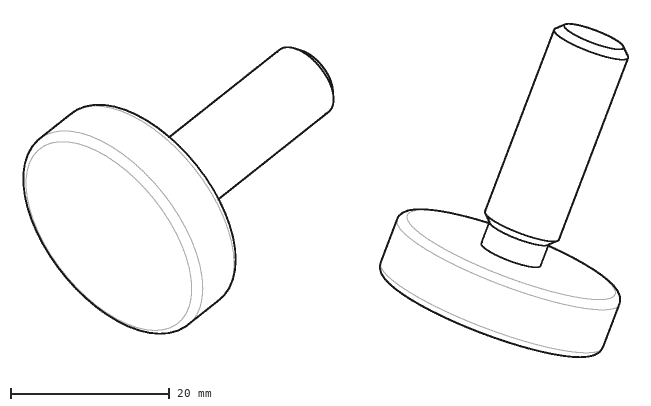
import cadquery as cq

total_length = 37.9
head_diameter = 30.0
head_thickness = 7.9
head_edge_radius = 1.0
shank_diameter = 10.0
neck_diameter = 8.0
neck_length = 3.0
tip_chamfer = 1.0

head_radius = head_diameter / 2
shank_radius = shank_diameter / 2
neck_radius = neck_diameter / 2
neck_end = head_thickness + neck_length
shank_start = neck_end + shank_radius - neck_radius


def make_head():
    """Round head with both rims rounded, its outer face at Y = 0."""
    disc = cq.Workplane("XZ").circle(head_radius).extrude(-head_thickness)
    return disc.edges().fillet(head_edge_radius)


def make_stem():
    """Neck, cone and shank revolved as one solid."""
    profile = (
        cq.Workplane("XY")
        .moveTo(0, head_thickness)
        .lineTo(neck_radius, head_thickness)
        .lineTo(neck_radius, neck_end)
        .lineTo(shank_radius, shank_start)
        .lineTo(shank_radius, total_length - tip_chamfer)
        .lineTo(shank_radius - tip_chamfer, total_length)
        .lineTo(0, total_length)
        .close()
    )
    return profile.revolve(360, (0, 0, 0), (0, 1, 0))


result = make_head().union(make_stem())